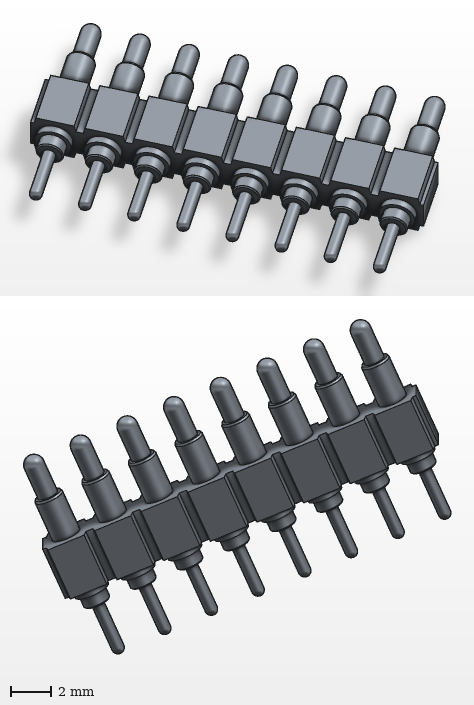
import cadquery as cq
import math

pin_count = 8
pitch = 2.54
housing_height = 2.54
housing_length = 2.82
strip_width = pin_count * pitch

notch_depth = 0.43
notch_floor_width = 0.38
notch_mouth_width = 0.57

plunger_dia = 1.06
barrel_dia = 1.50
flange_dia = 1.83
collar_dia = 1.41
tail_dia = 0.65

overall_length = 11.35
plunger_length = 2.26
barrel_length = 2.27
flange_thickness = 0.39
collar_length = 0.69
tail_length = (
    overall_length - plunger_length - barrel_length
    - housing_length - flange_thickness - collar_length
)

barrel_chamfer_length = 0.12
barrel_chamfer_inset = 0.06
collar_chamfer = 0.07

housing_front = -housing_length / 2
housing_back = housing_length / 2
flange_front = housing_front - flange_thickness
collar_front = flange_front - collar_length
tail_tip = collar_front - tail_length
barrel_end = housing_back + barrel_length
plunger_tip = barrel_end + plunger_length

pin_positions = [(i - (pin_count - 1) / 2) * pitch for i in range(pin_count)]


def make_notch(x, side):
    """Trapezoidal groove along Y; side is +1 for the top face, -1 for the bottom."""
    mouth_z = side * housing_height / 2
    floor_z = mouth_z - side * notch_depth
    return (
        cq.Workplane("XZ")
        .moveTo(x - notch_mouth_width / 2, mouth_z)
        .lineTo(x - notch_floor_width / 2, floor_z)
        .lineTo(x + notch_floor_width / 2, floor_z)
        .lineTo(x + notch_mouth_width / 2, mouth_z)
        .close()
        .extrude(housing_length / 2, both=True)
    )


def make_housing():
    """Strip with a notch at every cell boundary, both ends included, and a bore per pin."""
    body = cq.Workplane("XY").box(strip_width, housing_length, housing_height)
    for i in range(pin_count + 1):
        x = (i - pin_count / 2) * pitch
        for side in (1, -1):
            body = body.cut(make_notch(x, side))
    bores = (
        cq.Workplane("XZ")
        .pushPoints([(x, 0) for x in pin_positions])
        .circle(barrel_dia / 2)
        .extrude(housing_length / 2, both=True)
    )
    return body.cut(bores)


def make_pin(x):
    """Turned pin: round-nosed tail, collar, flange, barrel and round-nosed plunger."""
    tail_r = tail_dia / 2
    collar_r = collar_dia / 2
    flange_r = flange_dia / 2
    barrel_r = barrel_dia / 2
    plunger_r = plunger_dia / 2
    diagonal = math.sqrt(0.5)
    tail_center = tail_tip + tail_r
    plunger_center = plunger_tip - plunger_r
    profile = (
        cq.Workplane("YZ")
        .moveTo(tail_tip, 0)
        .threePointArc((tail_center - tail_r * diagonal, tail_r * diagonal), (tail_center, tail_r))
        .lineTo(collar_front, tail_r)
        .lineTo(collar_front, collar_r - collar_chamfer)
        .lineTo(collar_front + collar_chamfer, collar_r)
        .lineTo(flange_front, collar_r)
        .lineTo(flange_front, flange_r)
        .lineTo(housing_front, flange_r)
        .lineTo(housing_front, barrel_r)
        .lineTo(barrel_end - barrel_chamfer_length, barrel_r)
        .lineTo(barrel_end, barrel_r - barrel_chamfer_inset)
        .lineTo(barrel_end, plunger_r)
        .lineTo(plunger_center, plunger_r)
        .threePointArc(
            (plunger_center + plunger_r * diagonal, plunger_r * diagonal),
            (plunger_tip, 0),
        )
        .close()
    )
    return profile.revolve(360, (0, 0, 0), (1, 0, 0)).translate((x, 0, 0))


housing = make_housing()
pins = [make_pin(x) for x in pin_positions]

result = cq.Compound.makeCompound([housing.val(), *[pin.val() for pin in pins]])